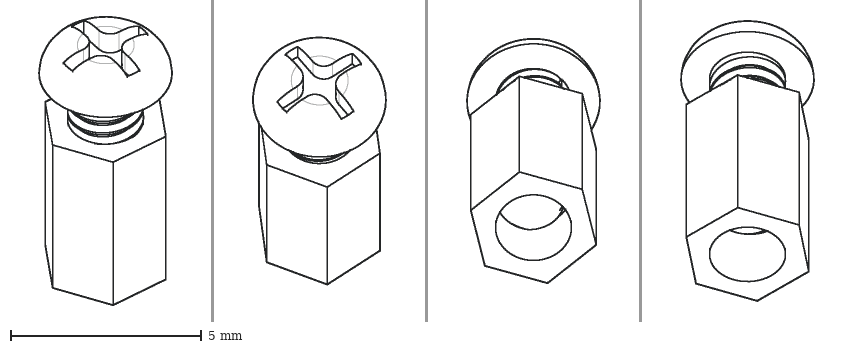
import cadquery as cq
import math

total_height = 7.6
standoff_height = 5.0
head_height = 1.0
head_base_z = total_height - head_height

hex_across_flats = 3.0
hex_corner_diameter = hex_across_flats / math.cos(math.pi / 6)

head_radius = 3.5 / 2
head_top_radius = head_radius - head_height

recess_radius = 1.25
recess_slot_width = 0.4
recess_corner_radius = 0.37
recess_depth = 0.66

shank_radius = 2.0 / 2
shank_length = 5.0
pitch = 0.4
groove_depth = 0.19
groove_mouth = 0.335
groove_floor = 0.13
groove_drop = 0.19
groove_runout_angle = 30
groove_overshoot = 0.02


def make_standoff():
    """Hexagonal pillar with a plain through bore for the screw."""
    pillar = (
        cq.Workplane("XY")
        .polygon(6, hex_corner_diameter)
        .extrude(standoff_height)
        .rotate((0, 0, 0), (0, 0, 1), 30)
    )
    bore = cq.Workplane("XY").circle(shank_radius).extrude(standoff_height)
    return pillar.cut(bore).solids()


def make_head():
    """Solid pan head, revolved about Z."""
    arc_mid_offset = head_height * math.sqrt(0.5)
    return (
        cq.Workplane("XZ")
        .moveTo(0, head_base_z)
        .lineTo(head_radius, head_base_z)
        .threePointArc(
            (head_top_radius + arc_mid_offset, head_base_z + arc_mid_offset),
            (head_top_radius, total_height),
        )
        .lineTo(0, total_height)
        .close()
        .revolve(360, (0, 0, 0), (0, 1, 0))
    )


def make_recess():
    """Cross-shaped cutter with rounded inner corners and arms that end on a circle."""
    floor_plane = cq.Workplane("XY", origin=(0, 0, total_height - recess_depth))
    arm_length = 2 * head_radius
    arm_x = floor_plane.rect(arm_length, recess_slot_width).extrude(recess_depth)
    arm_y = floor_plane.rect(recess_slot_width, arm_length).extrude(recess_depth)
    inner_corners = cq.selectors.BoxSelector(
        (-recess_slot_width, -recess_slot_width, 0),
        (recess_slot_width, recess_slot_width, 2 * total_height),
    )
    cross = arm_x.union(arm_y).edges("|Z").edges(inner_corners).fillet(recess_corner_radius)
    return cross.intersect(floor_plane.circle(recess_radius).extrude(recess_depth))


def make_thread_groove():
    """Right-handed helical cutter whose upper end lies just past the +X side."""
    turns = math.ceil(shank_length / pitch)
    helix_height = turns * pitch
    runout_rise = pitch * groove_runout_angle / 360
    bottom_z = head_base_z - groove_drop + runout_rise - helix_height
    root_radius = shank_radius - groove_depth
    flank_slope = (groove_mouth - groove_floor) / 2 / groove_depth
    outer_half = groove_mouth / 2 + flank_slope * groove_overshoot
    outer_radius = shank_radius + groove_overshoot
    helix = cq.Wire.makeHelix(pitch, helix_height, root_radius, center=cq.Vector(0, 0, bottom_z))
    return (
        cq.Workplane("XZ")
        .polyline([
            (root_radius, bottom_z - groove_floor / 2),
            (outer_radius, bottom_z - outer_half),
            (outer_radius, bottom_z + outer_half),
            (root_radius, bottom_z + groove_floor / 2),
        ])
        .close()
        .sweep(cq.Workplane(obj=helix), isFrenet=True)
        .rotate((0, 0, 0), (0, 0, 1), groove_runout_angle)
    )


def make_screw():
    """Pan-head screw with a cross recess and a threaded shank."""
    shank = (
        cq.Workplane("XY", origin=(0, 0, head_base_z - shank_length))
        .circle(shank_radius)
        .extrude(shank_length)
        .cut(make_thread_groove())
    )
    return make_head().cut(make_recess()).union(shank).solids()


standoff = make_standoff()
screw = make_screw()
result = cq.Compound.makeCompound([standoff.val(), screw.val()])